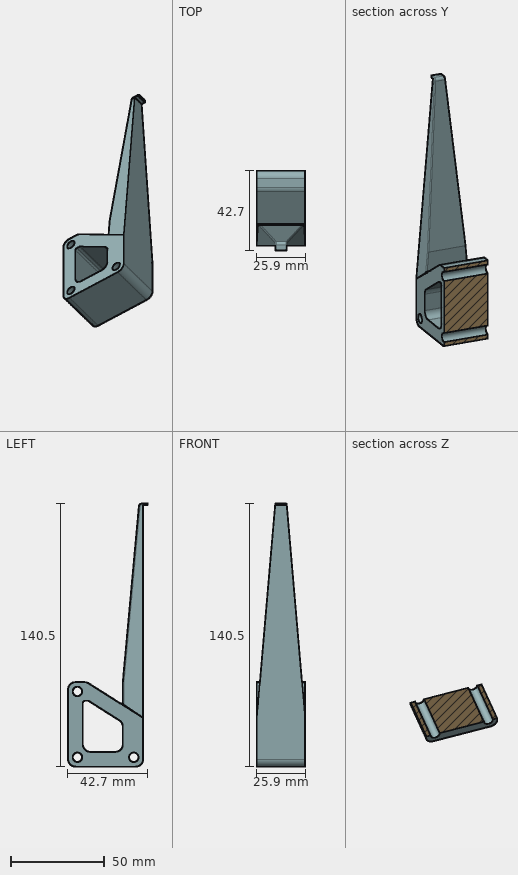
import cadquery as cq
import math

width = 25.9
half_width = width / 2
depth = 40.2
base_height = 45.2
top_flat = 10.0
slope_angle = math.radians(32.4)
front_height = base_height - (depth - top_flat) * math.tan(slope_angle)
corner_radius = 4.1

wall = 8.0
front_wall = 11.0
window_top = 35.1
window_radius = 4.0
window_top_radius = 1.0

hole_diameter = 4.9
hole_inset = 5.0

total_height = 140.5
spike_depth = front_wall
spike_taper_start = base_height
tip_depth = 2.2
tip_half_width = 3.1
tip_round = 1.7
edge_round = 0.5

lip_reach = 2.5
lip_thickness = 1.0
lip_bevel = 0.4

foot_depth = 12.0
foot_rise = 1.0
foot_half_width = 12.5
foot_top_half_width = 12.0


def sloped_height(distance_from_front):
    """Height of the sloping top of the base."""
    return front_height + distance_from_front * math.tan(slope_angle)


def extrude_profile(points, length):
    """Extrude a closed (Y, Z) outline symmetrically along X."""
    return cq.Workplane("YZ").polyline(points).close().extrude(length / 2, both=True)


def make_base():
    outline = [
        (0, 0),
        (depth, 0),
        (depth, base_height),
        (depth - top_flat, base_height),
        (0, front_height),
    ]
    base = extrude_profile(outline, width)
    return base.edges("|X").edges("<Z or >Z").fillet(corner_radius)


def make_window():
    drop = wall / math.cos(slope_angle)
    window_back = depth - wall
    top_corner = (window_top + drop - front_height) / math.tan(slope_angle)
    outline = [
        (front_wall, wall),
        (window_back, wall),
        (window_back, window_top),
        (top_corner, window_top),
        (front_wall, sloped_height(front_wall) - drop),
    ]
    window = extrude_profile(outline, width)
    window = window.edges("|X").edges(">Z").fillet(window_top_radius)
    return window.edges("|X").edges("<Z or <Y").fillet(window_radius)


def make_holes():
    centers = [
        (hole_inset, hole_inset),
        (depth - hole_inset, hole_inset),
        (depth - hole_inset, base_height - hole_inset),
    ]
    holes = cq.Workplane("YZ").pushPoints(centers).circle(hole_diameter / 2)
    return holes.extrude(half_width, both=True)


def make_spike():
    side = extrude_profile(
        [
            (0, front_height),
            (spike_depth, sloped_height(spike_depth)),
            (spike_depth, spike_taper_start),
            (tip_depth, total_height),
            (-lip_reach, total_height),
            (-lip_reach, total_height - lip_thickness + lip_bevel),
            (-lip_reach + lip_bevel, total_height - lip_thickness),
            (0, total_height - lip_thickness),
        ],
        width,
    )
    side = side.edges("|X").edges(">Z").edges(">Y").fillet(tip_round)
    face = (
        cq.Workplane("XZ", origin=(0, -lip_reach, 0))
        .polyline(
            [
                (-half_width, front_height),
                (half_width, front_height),
                (tip_half_width, total_height),
                (-tip_half_width, total_height),
            ]
        )
        .close()
        .extrude(-(lip_reach + spike_depth))
    )
    spike = side.intersect(face)
    return spike.edges("not |X").filter(is_rounded_spike_edge).fillet(edge_round)


def is_rounded_spike_edge(edge):
    """True for the side edges running up the back, round the tip and along the lip top."""
    middle = edge.Center()
    on_back = middle.y > edge_round and middle.z > sloped_height(middle.y) + edge_round
    on_lip_top = middle.z > total_height - lip_thickness / 2
    return on_back or on_lip_top


def make_foot():
    """Wedge lying on the slope, highest at the back of the spike."""
    toe_height = sloped_height(foot_depth)
    crest_height = sloped_height(spike_depth) + foot_rise
    front_left, front_right = [(side * half_width, 0, front_height) for side in (-1, 1)]
    toe_left, toe_right = [(side * foot_half_width, foot_depth, toe_height) for side in (-1, 1)]
    crest_left, crest_right = [
        (side * foot_top_half_width, spike_depth, crest_height) for side in (-1, 1)
    ]
    outlines = [
        (front_left, front_right, toe_right, toe_left),
        (front_left, front_right, crest_right, crest_left),
        (toe_left, toe_right, crest_right, crest_left),
        (front_left, toe_left, crest_left),
        (front_right, toe_right, crest_right),
    ]
    faces = []
    for outline in outlines:
        corners = [cq.Vector(*point) for point in outline]
        faces.append(cq.Face.makeFromWires(cq.Wire.makePolygon(corners, close=True)))
    return cq.Workplane(cq.Solid.makeSolid(cq.Shell.makeShell(faces)).fix())


base = make_base().cut(make_window()).cut(make_holes())
result = base.union(make_spike()).union(make_foot())